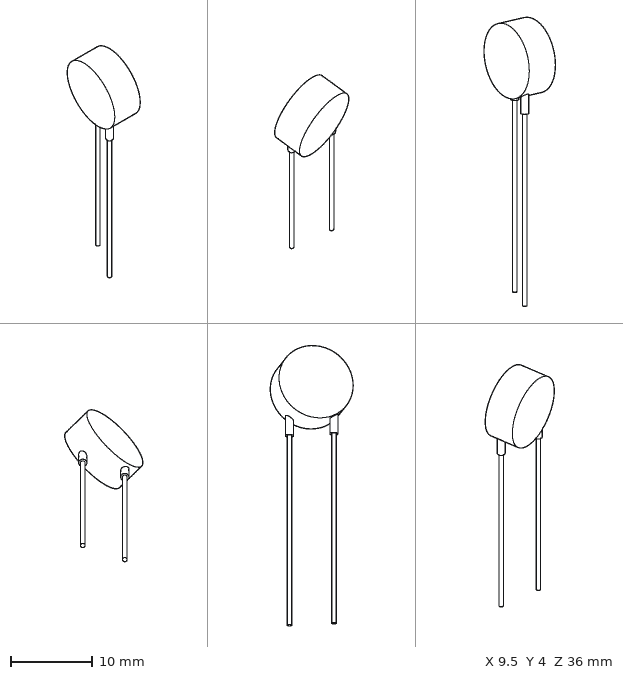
import cadquery as cq

disc_diameter = 9.5
disc_thickness = 4.0

overall_height = 36.0
wire_diameter = 0.58
collar_diameter = 1.0
collar_bottom_z = 25.0
lead_spacing_x = 5.08
lead_spacing_y = 2.15

disc_center_z = overall_height - disc_diameter / 2


def make_plain_disc():
    """Solid round disc standing on edge."""
    return (
        cq.Workplane("XZ", origin=(0, disc_thickness / 2, disc_center_z))
        .circle(disc_diameter / 2)
        .extrude(disc_thickness)
    )


def make_collar(x, y):
    """Vertical collar that reaches up into the disc."""
    return (
        cq.Workplane("XY", origin=(x, y, collar_bottom_z))
        .circle(collar_diameter / 2)
        .extrude(disc_center_z - collar_bottom_z)
    )


def make_housing(positions):
    """Disc with one coated collar around the root of each wire."""
    housing = make_plain_disc()
    for x, y in positions:
        housing = housing.union(make_collar(x, y))
    return housing


def make_wire(x, y):
    """Straight round wire that ends flush at the collar's lower face."""
    return (
        cq.Workplane("XY", origin=(x, y, 0))
        .circle(wire_diameter / 2)
        .extrude(collar_bottom_z)
    )


lead_positions = [
    (side * lead_spacing_x / 2, -side * lead_spacing_y / 2) for side in (-1, 1)
]

housing = make_housing(lead_positions)
wires = [make_wire(x, y) for x, y in lead_positions]

result = cq.Compound.makeCompound([housing.val(), *[wire.val() for wire in wires]])